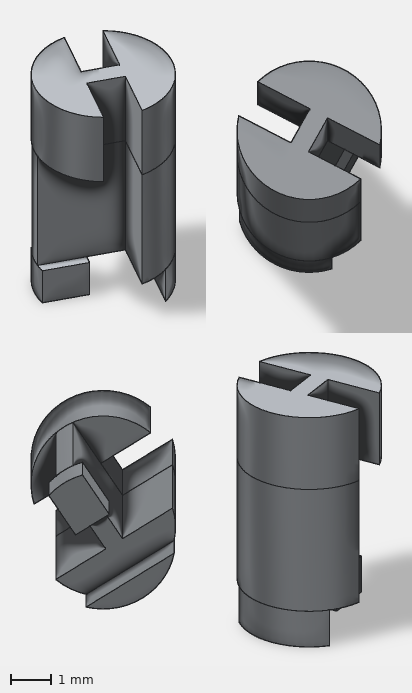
import cadquery as cq

radius = 1.8
slot_width = 1.0
web_thickness = 0.5
foot_height = 1.0
stem_height = 3.4
total_height = 6.4
rear_foot_start = 1.235

stem_top = foot_height + stem_height
head_height = total_height - stem_top
slot_edge = slot_width / 2
front_foot_width = slot_width
diameter = 2 * radius


def cylinder(bottom, height):
    """Full round of the plug between two levels."""
    return cq.Workplane("XY").workplane(offset=bottom).circle(radius).extrude(height)


def block(width, y_start, y_end, bottom, height):
    """Box centred on X, spanning y_start to y_end."""
    return (
        cq.Workplane("XY")
        .box(width, y_end - y_start, height, centered=(True, False, False))
        .translate((0, y_start, bottom))
    )


def make_head():
    """Round head with two side slots that leave a central web."""
    slots = block(diameter, -slot_edge, slot_edge, stem_top, head_height)
    web = block(web_thickness, -slot_edge, slot_edge, stem_top, head_height)
    return cylinder(stem_top, head_height).cut(slots.cut(web))


def make_stem():
    """T-shaped stem: a rear round segment and a web reaching the front."""
    segment = block(diameter, slot_edge, radius, foot_height, stem_height)
    web = block(web_thickness, -radius, slot_edge, foot_height, stem_height)
    return cylinder(foot_height, stem_height).intersect(segment.union(web))


def make_foot(width, y_start, y_end):
    """Foot below the stem, bounded outside by the round of the plug."""
    return cylinder(0, foot_height).intersect(block(width, y_start, y_end, 0, foot_height))


head = make_head()
stem = make_stem()
front_foot = make_foot(front_foot_width, -radius, -slot_edge)
rear_foot = make_foot(diameter, rear_foot_start, radius)

bodies = [head, stem, front_foot, rear_foot]
result = cq.Compound.makeCompound([body.solids().val() for body in bodies])